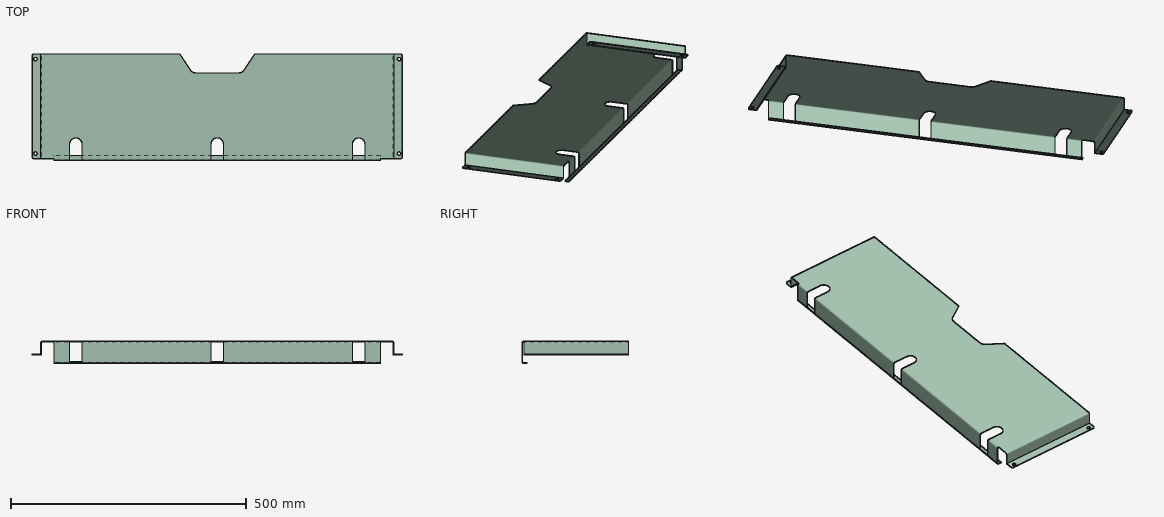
import cadquery as cq

length = 785.0
depth = 226.0
height = 47.0
sheet = 1.5
bend_outer = 4.0

side_drop = 29.0
strip_width = 18.0
strip_corner_radius = 4.0
mount_hole_diameter = 7.0
mount_hole_edge_x = 7.0
mount_hole_edge_y = 11.0

front_wall_length = 692.0
lip_depth = 11.0

slot_pitch = 300.0
slot_width = 26.0
slot_reach = 48.0

notch_depth = 40.0
notch_top_width = 158.5
notch_bottom_width = 105.0
notch_corner_radius = 14.0

front_y = -depth / 2
rear_y = depth / 2
plate_front_y = front_y + bend_outer
plate_depth = rear_y - plate_front_y
bend_inner = bend_outer - sheet
strip_z = height - side_drop
wall_x = length / 2 - strip_width


def hat_body():
    """Top plate with both side walls and mounting strips, as one extruded strip of sheet."""
    inner_wall_x = wall_x - sheet
    bend_x = wall_x - bend_outer
    under_z = height - sheet
    bend_z = height - bend_outer
    half = (
        cq.Workplane("XZ", origin=(0, rear_y, 0))
        .moveTo(0, height)
        .lineTo(bend_x, height)
        .radiusArc((wall_x, bend_z), bend_outer)
        .lineTo(wall_x, strip_z + sheet)
        .lineTo(length / 2, strip_z + sheet)
        .lineTo(length / 2, strip_z)
        .lineTo(inner_wall_x, strip_z)
        .lineTo(inner_wall_x, bend_z)
        .radiusArc((bend_x, under_z), -bend_inner)
        .lineTo(0, under_z)
        .close()
        .extrude(plate_depth)
    )
    body = half.union(half.mirror("YZ"))
    return body.edges("|Z and (<X or >X)").fillet(strip_corner_radius)


def front_wall():
    """Wall folded down from the plate's front edge, with a lip folded back underneath."""
    inner_y = front_y + sheet
    bend_y = front_y + bend_outer
    lip_y = front_y + lip_depth
    return (
        cq.Workplane("YZ", origin=(-front_wall_length / 2, 0, 0))
        .moveTo(bend_y, height)
        .radiusArc((front_y, height - bend_outer), -bend_outer)
        .lineTo(front_y, bend_outer)
        .radiusArc((bend_y, 0), -bend_outer)
        .lineTo(lip_y, 0)
        .lineTo(lip_y, sheet)
        .lineTo(bend_y, sheet)
        .radiusArc((inner_y, bend_outer), bend_inner)
        .lineTo(inner_y, height - bend_outer)
        .radiusArc((bend_y, height - sheet), bend_inner)
        .close()
        .extrude(front_wall_length)
    )


def mount_holes():
    spacing_x = length - 2 * mount_hole_edge_x
    spacing_y = plate_depth - 2 * mount_hole_edge_y
    return (
        cq.Workplane("XY", origin=(0, (plate_front_y + rear_y) / 2, 0))
        .rect(spacing_x, spacing_y, forConstruction=True)
        .vertices()
        .circle(mount_hole_diameter / 2)
        .extrude(height)
    )


def cable_slot(x):
    """Round-ended slot, open to the front, stopping above the lower lip's bend."""
    radius = slot_width / 2
    arc_y = front_y + slot_reach - radius
    return (
        cq.Workplane("XY", origin=(x, 0, bend_outer))
        .moveTo(-radius, front_y)
        .lineTo(-radius, arc_y)
        .threePointArc((0, arc_y + radius), (radius, arc_y))
        .lineTo(radius, front_y)
        .close()
        .extrude(height)
    )


def rear_notch():
    notch_floor_y = rear_y - notch_depth
    top = notch_top_width / 2
    bottom = notch_bottom_width / 2
    return (
        cq.Workplane("XY")
        .polyline([(-top, rear_y), (-bottom, notch_floor_y), (bottom, notch_floor_y), (top, rear_y)])
        .close()
        .extrude(height)
        .edges("|Z and <Y")
        .fillet(notch_corner_radius)
    )


result = hat_body().union(front_wall()).cut(mount_holes()).cut(rear_notch())
for slot_x in (-slot_pitch, 0, slot_pitch):
    result = result.cut(cable_slot(slot_x))